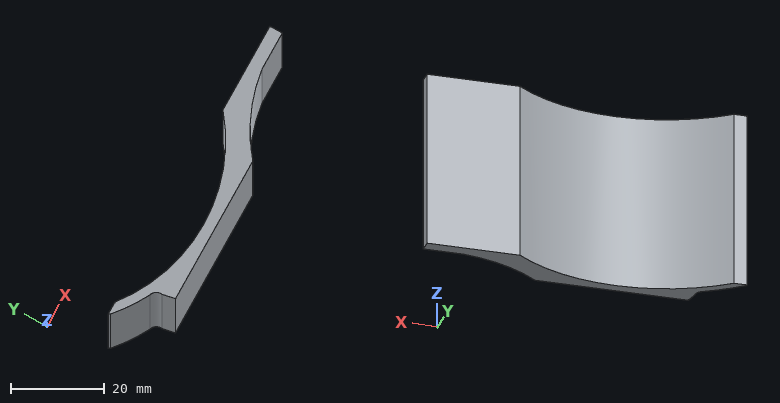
import cadquery as cq
import math

length = 71.4
depth = 11.0
height = 40.0

bowl_center_x = 26.85
bowl_half_width = 23.85
floor_thickness = 2.6

lip_thickness = 2.15
tip_width = 0.2
lip_root_x = 7.9

pad_left_x = 9.85
pad_right_x = 44.05
wall_top_x = 9.3
wall_top_y = 3.0
root_fillet_radius = 1.9

flange_thickness = 3.1
flange_start_x = 62.4
flank_radius = 35.7

bowl_sagitta = depth - floor_thickness
bowl_radius = (bowl_half_width**2 + bowl_sagitta**2) / (2 * bowl_sagitta)
bowl_center_y = floor_thickness + bowl_radius
lip_radius = bowl_radius + lip_thickness


def lip_y(x):
    """Y of the outer lip surface at a given X."""
    return bowl_center_y - math.sqrt(lip_radius**2 - (x - bowl_center_x) ** 2)


profile = (
    cq.Workplane("XY")
    .moveTo(0, depth)
    .lineTo(tip_width, lip_y(tip_width))
    .radiusArc((lip_root_x, lip_y(lip_root_x)), -lip_radius)
    .radiusArc((wall_top_x, wall_top_y), root_fillet_radius)
    .lineTo(pad_left_x, 0)
    .lineTo(pad_right_x, 0)
    .radiusArc((flange_start_x, depth - flange_thickness), flank_radius)
    .lineTo(length, depth - flange_thickness)
    .lineTo(length, depth)
    .lineTo(bowl_center_x + bowl_half_width, depth)
    .threePointArc(
        (bowl_center_x, floor_thickness),
        (bowl_center_x - bowl_half_width, depth),
    )
    .close()
)

result = profile.extrude(height)